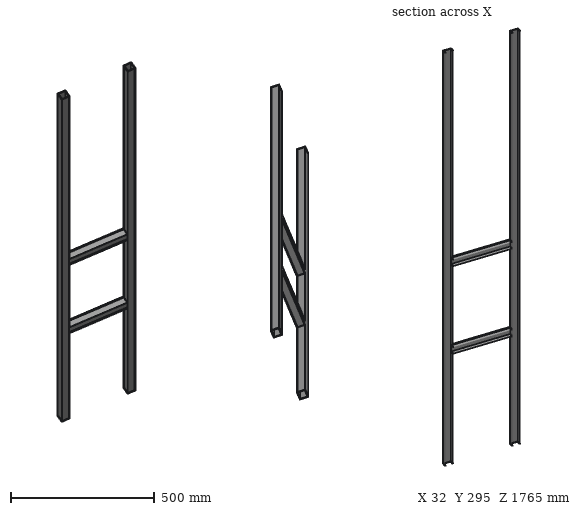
import cadquery as cq

frame_height = 1765.0
frame_width = 295.0
tube_side = 32.0
wall = 3.0
rung_bottoms = (468.0, 842.0)

bore_side = tube_side - 2 * wall
rail_offset = (frame_width - tube_side) / 2
rung_length = frame_width - 2 * tube_side


def square_tube(length):
    """Square tube standing on the XY plane, open at both ends."""
    outer = cq.Workplane("XY").rect(tube_side, tube_side).extrude(length)
    bore = cq.Workplane("XY").rect(bore_side, bore_side).extrude(length)
    return outer.cut(bore)


def rung(bottom):
    """Tube along Y whose ends butt against the inner faces of the rails."""
    lying = square_tube(rung_length).rotate((0, 0, 0), (1, 0, 0), -90)
    return lying.translate((0, -rung_length / 2, bottom + tube_side / 2))


rail = square_tube(frame_height)
result = rail.translate((0, -rail_offset, 0))
result = result.union(rail.translate((0, rail_offset, 0)))
for rung_bottom in rung_bottoms:
    result = result.union(rung(rung_bottom))